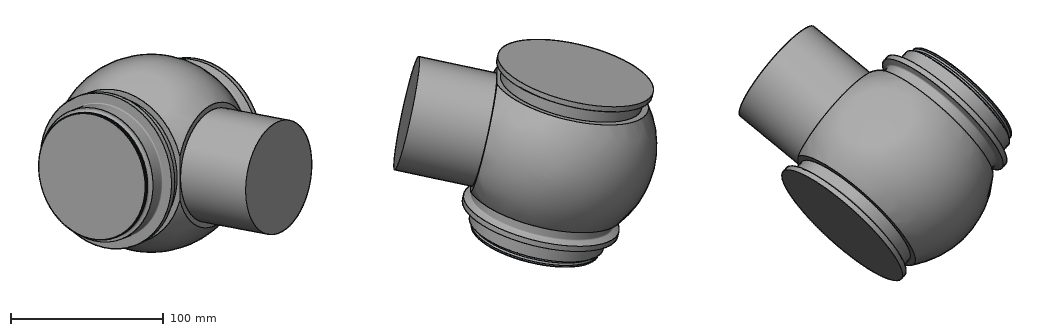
import cadquery as cq
import math

ball_radius = 65.08
body_half_width = 39.0
outlet_face_x = 49.9

pipe_radius = 38.15
pipe_end_x = 101.85

neck_radius = 47.7
neck_fillet = 1.2
flange_radius = 52.5
flange_face_y = 52.4
rim_thickness = 3.75
taper_angle = 20.5

spigot_radius = 45.3
spigot_length = 10.95
spigot_fillet = 0.8
groove_radius = 42.5
groove_fillet = 1.5
groove_floor_width = 0.6
lip_radius = 43.0
lip_ramp_width = 1.5
lip_chamfer = 0.5
plug_end_y = 68.45


def make_body():
    """Sphere with flats on both Y sides and on the +X side."""
    ball = cq.Workplane("XY").sphere(ball_radius)
    envelope = cq.Workplane("XY").box(
        ball_radius + outlet_face_x,
        2 * body_half_width,
        2 * ball_radius,
    ).translate(((outlet_face_x - ball_radius) / 2, 0, 0))
    return ball.intersect(envelope)


def make_outlet():
    """Pipe running from the centre of the body out to +X."""
    return cq.Workplane("YZ").circle(pipe_radius).extrude(pipe_end_x)


def revolve_about_y(outline):
    """Turn a closed outline, drawn as (radius, y), around the Y axis."""
    return outline.close().revolve(360, (0, 0, 0), (0, 1, 0))


def concave_arc(outline, start, end, center):
    """Extend the outline from start to end by the shorter arc about center."""
    radius = math.dist(start, center)
    middle = [(a + b) / 2 - c for a, b, c in zip(start, end, center)]
    stretch = radius / math.hypot(*middle)
    arc_point = (center[0] + stretch * middle[0], center[1] + stretch * middle[1])
    return outline.threePointArc(arc_point, end)


def make_flange():
    """Neck, filleted taper and flange rim on the +Y side."""
    slope = math.radians(taper_angle)
    rim_start = flange_face_y - rim_thickness
    taper_foot = rim_start - (flange_radius - neck_radius) * math.tan(slope)

    tangent_length = neck_fillet * math.tan((math.pi / 2 - slope) / 2)
    fillet_start = (neck_radius, taper_foot - tangent_length)
    fillet_end = (
        neck_radius + tangent_length * math.cos(slope),
        taper_foot + tangent_length * math.sin(slope),
    )
    fillet_center = (neck_radius + neck_fillet, fillet_start[1])

    outline = cq.Workplane("XY").lineTo(neck_radius, 0).lineTo(*fillet_start)
    outline = concave_arc(outline, fillet_start, fillet_end, fillet_center)
    outline = outline.lineTo(flange_radius, rim_start)
    outline = outline.lineTo(flange_radius, flange_face_y)
    outline = outline.lineTo(0, flange_face_y)
    return revolve_about_y(outline)


def make_plug():
    """Spigot, rounded groove and chamfered lip on the -Y side."""
    spigot_end = flange_face_y + spigot_length
    floor_start = spigot_end + groove_fillet
    floor_end = floor_start + groove_floor_width

    root_start = (spigot_radius + spigot_fillet, -flange_face_y)
    root_end = (spigot_radius, -flange_face_y - spigot_fillet)
    root_center = (root_start[0], root_end[1])

    groove_start = (groove_radius + groove_fillet, -spigot_end)
    groove_end = (groove_radius, -floor_start)
    groove_center = (groove_start[0], groove_end[1])

    outline = cq.Workplane("XY").lineTo(root_start[0], 0).lineTo(*root_start)
    outline = concave_arc(outline, root_start, root_end, root_center)
    outline = outline.lineTo(spigot_radius, -spigot_end).lineTo(*groove_start)
    outline = concave_arc(outline, groove_start, groove_end, groove_center)
    outline = outline.lineTo(groove_radius, -floor_end)
    outline = outline.lineTo(lip_radius, -floor_end - lip_ramp_width)
    outline = outline.lineTo(lip_radius, lip_chamfer - plug_end_y)
    outline = outline.lineTo(lip_radius - lip_chamfer, -plug_end_y)
    outline = outline.lineTo(0, -plug_end_y)
    return revolve_about_y(outline)


flange = make_flange()
result = make_body().union(make_outlet())
result = result.union(flange).union(flange.mirror("XZ"))
result = result.union(make_plug())